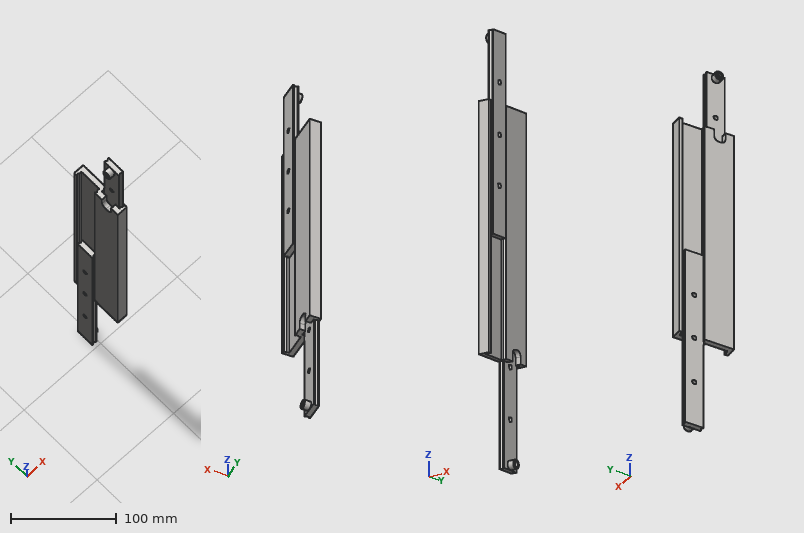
import cadquery as cq

total_length = 425.0
upper_overhang = 70.0
lower_overhang = 105.0

housing_thickness = 12.0
housing_width = 60.0
housing_length = total_length - upper_overhang - lower_overhang
housing_bottom = lower_overhang
lip_thickness = 4.0
channel_width = 24.2
channel_depth = 6.0
channel_offset = housing_width / 2 - lip_thickness - channel_width / 2
slot_width = 12.5
slot_offset = 14.5
slot_depth = 12.8
slot_corner_radius = 5.0

rail_thickness = 6.0
rail_width = 20.0
rail_length = 202.0
rail_protrusion = 1.05
rail_outer_face = housing_thickness / 2 + rail_protrusion
groove_width = 3.0
groove_depth = 1.0
hole_diameter = 4.5
hole_distances = [50.0, 102.0, 152.2]

roller_diameter = 9.5
roller_length = rail_outer_face - rail_thickness + housing_thickness / 2
roller_end_gap = 0.2
roller_chamfer = 0.5
socket_diameter = 5.0
socket_depth = 3.0

groove_center = rail_outer_face - rail_thickness / 2


def groove_cutters(side_distance, length):
    """Two elliptical bars that dip into the side planes of a rail or a channel."""
    return (
        cq.Workplane("XY")
        .pushPoints([(groove_center, -side_distance), (groove_center, side_distance)])
        .ellipse(groove_width / 2, groove_depth)
        .extrude(length)
    )


def make_channel_cutter():
    """Channel in the +X face at -Y, with its two ball grooves."""
    channel = (
        cq.Workplane("XY")
        .box(channel_depth, channel_width, housing_length, centered=(False, True, False))
        .translate((housing_thickness / 2 - channel_depth, 0, 0))
    )
    grooves = groove_cutters(channel_width / 2, housing_length)
    return channel.union(grooves).translate((0, -channel_offset, 0))


def make_slot_cutter():
    """Round-cornered slot through the web behind the +X channel, open at the top end."""
    return (
        cq.Workplane("XY")
        .box(housing_thickness, slot_width, 2 * slot_depth)
        .edges("|X")
        .fillet(slot_corner_radius)
        .translate((0, -slot_offset, housing_length))
    )


def make_housing():
    body = cq.Workplane("XY").box(
        housing_thickness, housing_width, housing_length, centered=(True, True, False)
    )
    channel = make_channel_cutter()
    opposite_channel = channel.rotate((0, 0, 0), (0, 0, 1), 180)
    body = body.cut(channel).cut(opposite_channel)

    slot = make_slot_cutter()
    mid_height = housing_length / 2
    opposite_slot = slot.rotate((0, 0, mid_height), (1, 0, mid_height), 180)
    body = body.cut(slot).cut(opposite_slot)
    return body.translate((0, 0, housing_bottom))


def make_rail():
    """Rail on the +X side, centred on Y, with its roller end at Z = 0 and its body below."""
    rail = (
        cq.Workplane("XY")
        .box(rail_thickness, rail_width, rail_length, centered=(False, True, False))
        .translate((rail_outer_face - rail_thickness, 0, 0))
    )
    rail = rail.cut(groove_cutters(rail_width / 2, rail_length)).translate((0, 0, -rail_length))

    holes = (
        cq.Workplane("YZ")
        .pushPoints([(0, -distance) for distance in hole_distances])
        .circle(hole_diameter / 2)
        .extrude(rail_outer_face)
    )
    roller = (
        cq.Workplane("YZ", origin=(-housing_thickness / 2, 0, 0))
        .center(0, -roller_end_gap - roller_diameter / 2)
        .circle(roller_diameter / 2)
        .extrude(roller_length)
        .faces("<X")
        .chamfer(roller_chamfer)
        .faces("<X")
        .workplane()
        .hole(socket_diameter, socket_depth)
    )
    return rail.cut(holes).union(roller)


housing = make_housing()
upper_rail = make_rail().translate((0, -channel_offset, total_length))
lower_rail = make_rail().rotate((0, 0, 0), (0, 1, 0), 180).translate((0, channel_offset, 0))

result = cq.Compound.makeCompound([housing.val(), upper_rail.val(), lower_rail.val()])